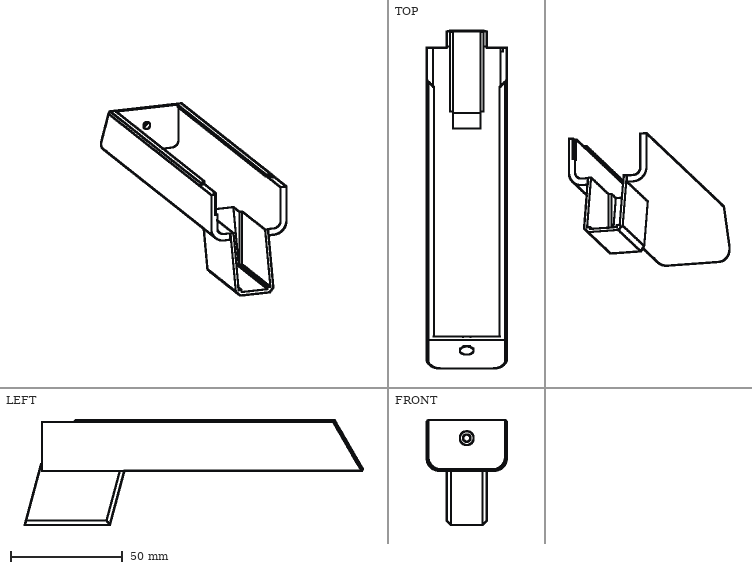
import cadquery as cq
import math

tray_width = 36.0
tray_height = 22.8
tray_rear = 143.5
outer_radius = 6.0
edge_chamfer = 0.9
front_rake = 30.0

wall = 2.9
floor = 3.0
inner_radius = 3.2
cavity_front = 14.2

lip_overhang = 0.5

low_rim_z = tray_height - edge_chamfer
low_rim_start = 129.1

notch_depth = 1.0
notch_length = 1.8
notch_bottom = 12.4

hole_z = 14.7
hole_diameter = 3.2
counterbore_diameter = 6.2
counterbore_end = 10.0

leg_width = 18.0
leg_length = 38.1
leg_rear = 151.2
total_height = 47.0
leg_bottom = tray_height - total_height
leg_chamfer = 2.0
leg_rake = 15.0

slot_width = 12.4
slot_floor = -22.7
slot_front_wall = 1.5
ledge_width = 15.1
ledge_floor = -21.8
ledge_length = 36.3

OPEN_END = 15.1


def box(x_min, x_max, y_min, y_max, z_min, z_max):
    size = (x_max - x_min, y_max - y_min, z_max - z_min)
    return cq.Workplane("XY").box(*size, centered=False).translate((x_min, y_min, z_min))


def side_prism(points, width):
    """Extrude a (Y, Z) outline symmetrically about X = 0."""
    return cq.Workplane("YZ").polyline(points).close().extrude(width / 2, both=True)


def leg_y(distance_from_rear, z):
    """Y of a raked plane that meets the leg's bottom at the given distance from its rear."""
    return leg_rear - distance_from_rear - (z - leg_bottom) * math.tan(math.radians(leg_rake))


def tray_body():
    tip = -edge_chamfer * math.sin(math.radians(front_rake))
    top_front = tip + tray_height * math.tan(math.radians(front_rake))
    outline = [(tip, 0), (tray_rear, 0), (tray_rear, tray_height), (top_front, tray_height)]
    body = side_prism(outline, tray_width)
    body = body.edges("<Z and |Y").fillet(outer_radius)
    top_sides = body.edges(">Z and |Y")
    front_rim = body.faces("<Y").edges("not >Z")
    return body.newObject(top_sides.vals() + front_rim.vals()).chamfer(edge_chamfer)


def tray_cavity():
    half = tray_width / 2 - wall
    rear = tray_rear + OPEN_END
    lower = box(-half, half, cavity_front, rear, floor, low_rim_z)
    lower = lower.edges("<Z and |Y").fillet(inner_radius)
    mouth = half - lip_overhang
    upper = box(-mouth, mouth, cavity_front, rear, low_rim_z, tray_height + OPEN_END)
    return lower.union(upper)


def rim_step():
    half = tray_width / 2
    outline = [
        (-half, low_rim_start),
        (0, low_rim_start - half),
        (half, low_rim_start),
        (half, tray_rear),
        (-half, tray_rear),
    ]
    return cq.Workplane("XY").workplane(offset=low_rim_z).polyline(outline).close().extrude(edge_chamfer)


def corner_notch():
    inner_face = tray_width / 2 - wall
    return box(
        inner_face - lip_overhang, inner_face + notch_depth,
        tray_rear - notch_length, tray_rear,
        notch_bottom, tray_height,
    )


def screw_hole():
    plane = cq.Workplane("XZ", origin=(0, 0, hole_z))
    through = plane.circle(hole_diameter / 2).extrude(-cavity_front - OPEN_END)
    counterbore = plane.circle(counterbore_diameter / 2).extrude(-counterbore_end)
    return through.union(counterbore)


def leg_block():
    outline = [
        (leg_y(0, leg_bottom), leg_bottom),
        (leg_y(leg_length, leg_bottom), leg_bottom),
        (leg_y(leg_length, floor), floor),
        (leg_y(0, floor), floor),
    ]
    block = side_prism(outline, leg_width)
    bottom_sides = block.faces("<Z").edges("|Y")
    front_sides = block.faces("<Y").edges("not |X")
    return block.newObject(bottom_sides.vals() + front_sides.vals()).chamfer(leg_chamfer)


def leg_slot():
    front = leg_length - slot_front_wall
    rear = leg_rear + OPEN_END
    outline = [
        (rear, slot_floor),
        (leg_y(front, slot_floor), slot_floor),
        (leg_y(front, floor), floor),
        (rear, floor),
    ]
    half = ledge_width / 2
    ledge = box(-half, half, leg_rear - ledge_length, rear, ledge_floor, floor)
    return side_prism(outline, slot_width).union(ledge)


tray = tray_body().cut(tray_cavity()).cut(rim_step()).cut(corner_notch()).cut(screw_hole())
result = tray.union(leg_block()).cut(leg_slot())